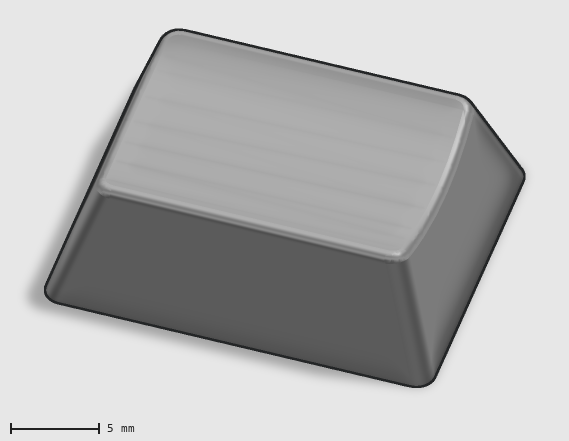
import cadquery as cq
import math

BASE_LENGTH = 23.06
BASE_WIDTH = 18.3
WALL_DRAFT = 18.0
BLANK_HEIGHT = 9.0

DISH_RADIUS = 22.3
DISH_FLOOR = 6.5

CORNER_RADIUS = 1.2
RIM_RADIUS = 0.6


def make_blank():
    """Rectangular block with four walls leaning inward and rounded corners."""
    block = cq.Workplane("XY").rect(BASE_LENGTH, BASE_WIDTH).extrude(BLANK_HEIGHT, taper=WALL_DRAFT)
    slanted_corners = block.edges("not(#Z)")
    return slanted_corners.fillet(CORNER_RADIUS)


def make_dish_cutter():
    """Bar along X whose underside is an arc touching the dish floor at mid-width."""
    half_width = BASE_WIDTH / 2
    edge_rise = DISH_RADIUS - math.sqrt(DISH_RADIUS**2 - half_width**2)
    edge_height = DISH_FLOOR + edge_rise
    top = edge_height + BLANK_HEIGHT
    profile = (
        cq.Workplane("YZ")
        .moveTo(-half_width, top)
        .lineTo(-half_width, edge_height)
        .threePointArc((0, DISH_FLOOR), (half_width, edge_height))
        .lineTo(half_width, top)
        .close()
    )
    return profile.extrude(BASE_LENGTH / 2, both=True)


def round_rim(body):
    """Round the closed edge where the dish meets the walls and corners."""
    rim_zone = cq.selectors.BoxSelector(
        (-BASE_LENGTH, -BASE_WIDTH, DISH_FLOOR),
        (BASE_LENGTH, BASE_WIDTH, BLANK_HEIGHT),
    )
    return body.edges(rim_zone).fillet(RIM_RADIUS)


dished_body = make_blank().cut(make_dish_cutter())
result = round_rim(dished_body)